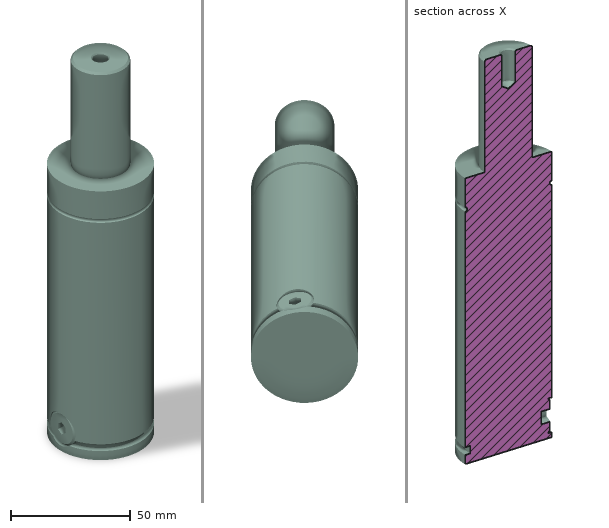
import cadquery as cq
import math

total_height = 185.0
body_top = 132.8

body_radius = 45.0 / 2
flange_height = 4.5
clip_groove_top = 7.8
clip_groove_radius = 40.0 / 2
relief_bottom = 117.3
relief_top = 119.1
relief_radius = (relief_top - relief_bottom) / 2
relief_middle = (relief_bottom + relief_top) / 2

rod_radius = 25.0 / 2
rod_chamfer = 1.0
rod_hole_radius = 6.8 / 2
rod_hole_mouth_radius = 8.0 / 2
rod_hole_depth = 14.8
drill_tip_angle = 118.0

plug_height = 10.5
plug_seat_radius = 16.0 / 2
plug_radius = 14.0 / 2
plug_face_distance = 21.6
plug_chamfer = plug_seat_radius - plug_radius
socket_flats = 5.0
socket_depth = 4.6


def make_cylinder_and_rod():
    """Revolve the stepped outline of the body and rod about Z."""
    outline = [
        (0, 0),
        (body_radius, 0),
        (body_radius, flange_height),
        (clip_groove_radius, flange_height),
        (clip_groove_radius, clip_groove_top),
        (body_radius, clip_groove_top),
        (body_radius, body_top),
        (rod_radius, body_top),
        (rod_radius, total_height - rod_chamfer),
        (rod_radius - rod_chamfer, total_height),
        (0, total_height),
    ]
    return cq.Workplane("XZ").polyline(outline).close().revolve(360, (0, 0), (0, 1))


def make_relief_groove():
    """Half-round groove that runs around the body below its head."""
    section = cq.Workplane("XZ").center(body_radius, relief_middle).circle(relief_radius)
    return section.revolve(360, (-body_radius, 0), (-body_radius, 1))


def make_rod_hole():
    """Blind hole with a chamfered mouth and a conical drill tip."""
    mouth_chamfer = rod_hole_mouth_radius - rod_hole_radius
    tip_length = rod_hole_radius / math.tan(math.radians(drill_tip_angle / 2))
    hole_bottom = total_height - rod_hole_depth
    outline = [
        (0, total_height),
        (rod_hole_mouth_radius, total_height),
        (rod_hole_radius, total_height - mouth_chamfer),
        (rod_hole_radius, hole_bottom),
        (0, hole_bottom - tip_length),
    ]
    return cq.Workplane("XZ").polyline(outline).close().revolve(360, (0, 0), (0, 1))


def side_plane(distance):
    """Plane facing -Y at the plug height, at a distance from the axis."""
    return cq.Workplane("XZ", origin=(0, -distance, plug_height))


def make_plug():
    """Round plug with a chamfered rim and a hexagon socket."""
    plug = side_plane(0).circle(plug_seat_radius).extrude(plug_face_distance)
    plug = plug.faces("<Y").chamfer(plug_chamfer)
    socket_corners = socket_flats / math.cos(math.pi / 6)
    socket = (
        side_plane(plug_face_distance)
        .transformed(rotate=(0, 0, 90))
        .polygon(6, socket_corners)
        .extrude(-socket_depth)
    )
    return plug.cut(socket)


plug_seat = side_plane(0).circle(plug_seat_radius).extrude(body_radius)
result = (
    make_cylinder_and_rod()
    .cut(make_relief_groove())
    .cut(make_rod_hole())
    .cut(plug_seat)
    .union(make_plug())
)